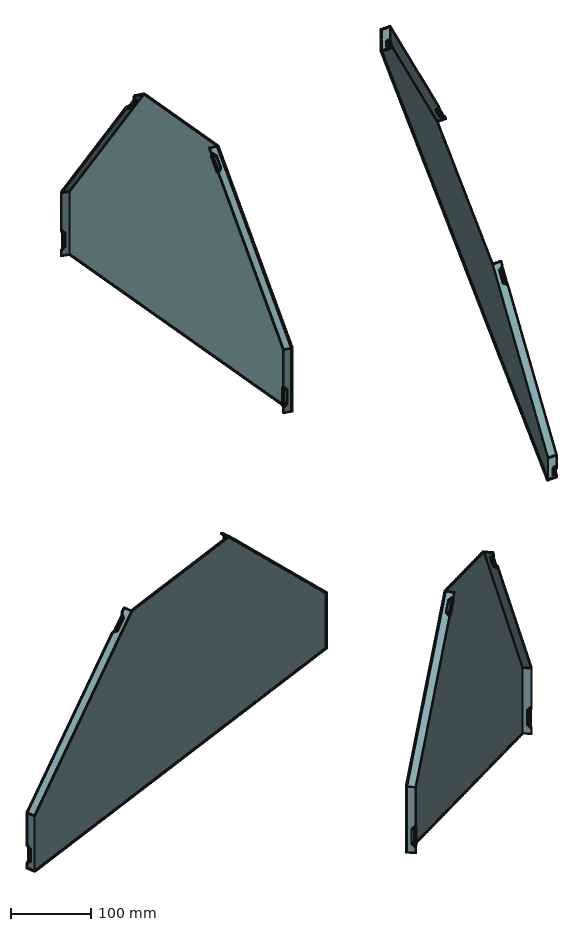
import cadquery as cq
import math

width = 600.0
top_width = 200.0
height = 284.71
depth = 12.5
sheet = 1.25

corner_gap = 0.2

dent_offset = 3.0
dent_centre = 21.0
mouth_length = 28.0
mouth_root_length = 18.0
mouth_reach = 5.5
floor_length = 22.0
floor_root_length = 17.0
floor_reach = 2.5

half_width = width / 2
half_top = top_width / 2
slope_run = half_width - half_top
slope_rise = slope_run
corner_z = height - slope_rise
slope_length = math.hypot(slope_run, slope_rise)
slope_lean = math.degrees(math.atan2(slope_run, slope_rise))


def make_plate():
    """Flat back plate with both upper corners cut off."""
    outline = [
        (-half_width, 0),
        (half_width, 0),
        (half_width, corner_z),
        (half_top, height),
        (-half_top, height),
        (-half_width, corner_z),
    ]
    return cq.Workplane("XZ", origin=(0, depth, 0)).polyline(outline).close().extrude(sheet)


def dent_outline(edge_length, root_length, reach):
    """Trapezoid in (Y, Z) that starts at the free edge and narrows towards the plate."""
    return [
        (0, -edge_length / 2),
        (0, edge_length / 2),
        (reach, root_length / 2),
        (reach, -root_length / 2),
    ]


def make_dent(face_x, centre_z):
    """Tapered block that starts at X = face_x and ends in the flat dent floor."""
    mouth = dent_outline(mouth_length, mouth_root_length, mouth_reach)
    floor = dent_outline(floor_length, floor_root_length, floor_reach)
    return (
        cq.Workplane("YZ", origin=(face_x, 0, centre_z))
        .polyline(mouth)
        .close()
        .workplane(offset=dent_offset)
        .polyline(floor)
        .close()
        .loft(ruled=True)
    )


def make_flange(start, end, dent_z):
    """Flange with its outer face on X = 0, running from Z = start to Z = end, with one dent."""
    strip = cq.Workplane(origin=(0, 0, start)).box(sheet, depth, end - start, centered=False)
    return strip.union(make_dent(sheet, dent_z)).cut(make_dent(0, dent_z))


def make_side_flanges():
    """The lower upright flange and the sloped flange of the -X side."""
    lower = make_flange(0, corner_z - corner_gap, dent_centre).translate((-half_width, 0, 0))
    sloped = (
        make_flange(corner_gap, slope_length - corner_gap, slope_length - dent_centre)
        .rotate((0, 0, 0), (0, 1, 0), slope_lean)
        .translate((-half_width, 0, corner_z))
    )
    return lower.union(sloped)


left_flanges = make_side_flanges()
right_flanges = left_flanges.mirror("YZ")
panel = make_plate().union(left_flanges).union(right_flanges)
result = panel.solids()